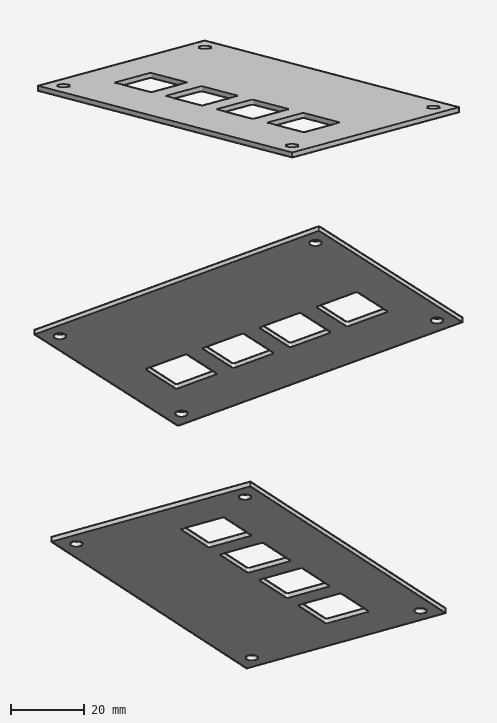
import cadquery as cq

length = 97.5
width = 65.0
thickness = 1.5

hole_diameter = 3.4
hole_inset = 5.0

window_count = 4
window_size = 14.0
window_pitch = 19.5
window_corner_radius = 0.5
window_row_x = 0.2
window_row_y = -8.5


def make_plate():
    return cq.Workplane("XY").box(length, width, thickness)


def make_mounting_holes():
    return (
        cq.Workplane("XY")
        .rect(length - 2 * hole_inset, width - 2 * hole_inset, forConstruction=True)
        .vertices()
        .circle(hole_diameter / 2)
        .extrude(thickness, both=True)
    )


def make_windows():
    return (
        cq.Workplane("XY")
        .center(window_row_x, window_row_y)
        .rarray(window_pitch, 1, window_count, 1)
        .rect(window_size, window_size)
        .extrude(thickness, both=True)
        .edges("|Z")
        .fillet(window_corner_radius)
    )


result = make_plate().cut(make_mounting_holes()).cut(make_windows())